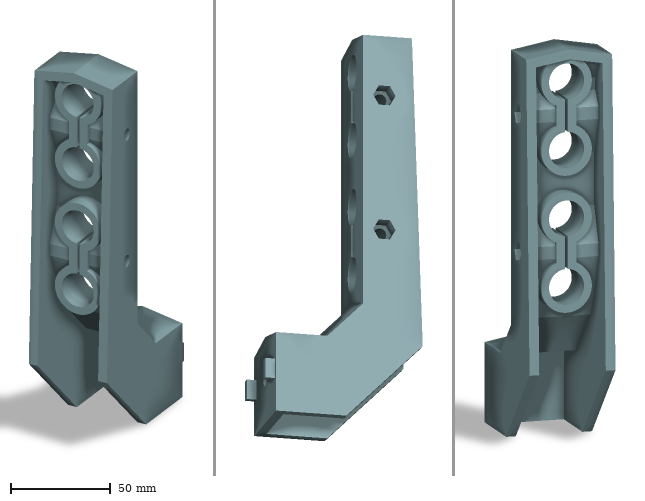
import cadquery as cq
import math

width = 45.0
height = 204.0
wall = 5.0
half_width = width / 2
cavity_half_width = half_width - wall

ledge_z = 45.0
base_back_y = 75.7
column_back_y = 30.8
column_front_top_y = 5.7
front_chamfer = 39.4
ledge_side_end_y = 49.2

crown_slope = math.tan(math.radians(10))
crown_rise = half_width * crown_slope

pad_y = 12.2
pad_height = 6.5
boss_slope = math.tan(math.radians(22))
boss_bend_z = 81.5
web_y = 19.5
top_seat_y = 18.0
top_seat_low_z = 179.7
top_seat_high_z = 186.0
top_ramp_end_z = 197.9

screw_y = 19.8
screw_z_levels = (99.0, 169.1)
screw_diameter = 6.5
nut_flats = 10.0
nut_depth = 9.2
tube_spacing = 35.0
tube_outer_radius = 13.3
tube_bore_radius = 9.2
clamp_front_y = 10.0
neck_width = 10.5
slot_width = 1.6

mount_z = 22.6
mount_hole_diameter = 6.5
peg_width = 3.3
peg_height = 10.2
peg_length = 5.0

front_lean = column_front_top_y / (height - front_chamfer)
bend_shift = math.tan(math.radians(22.5))
ledge_ridge_end_y = ledge_side_end_y + crown_rise * bend_shift

ceiling_z = ledge_z - wall
ceiling_end_y = ledge_ridge_end_y - wall * bend_shift
column_inner_y = column_back_y - wall
column_foot_z = ceiling_z + ceiling_end_y - column_inner_y


def outer_outline(drop):
    """Closed (Y, Z) outline of the body with the top surfaces lowered by `drop` from the ridge."""
    roof_z = height - drop
    shelf_z = ledge_z - drop
    bend_y = ledge_ridge_end_y - drop * bend_shift
    return [
        (front_chamfer, 0),
        (base_back_y, 0),
        (base_back_y, shelf_z),
        (bend_y, shelf_z),
        (column_back_y, shelf_z + bend_y - column_back_y),
        (column_back_y, roof_z),
        ((roof_z - front_chamfer) * front_lean, roof_z),
        (0, front_chamfer),
    ]


def cavity_outline(drop):
    """Closed (Y, Z) outline of the hollow, open at the front and underneath."""
    roof_z = height - wall - drop
    return [
        (-wall, -wall),
        (base_back_y - wall, -wall),
        (base_back_y - wall, ceiling_z),
        (ceiling_end_y, ceiling_z),
        (column_inner_y, column_foot_z),
        (column_inner_y, roof_z),
        (-wall, roof_z),
    ]


def crowned_solid(outline, half_span):
    """Loft an outline from the ridge to the side, then mirror it about X = 0."""
    half = (
        cq.Workplane("YZ")
        .polyline(outline(0)).close()
        .workplane(offset=half_span)
        .polyline(outline(half_span * crown_slope)).close()
        .loft(ruled=True)
    )
    return half.union(half.mirror("YZ"))


def column_backing():
    """Stepped filling between the side walls, from the back of the column to the boss faces."""
    low_pad, high_pad = [(z - pad_height / 2, z + pad_height / 2) for z in screw_z_levels]
    web_rise = (web_y - pad_y) / boss_slope
    bend_y = pad_y + (low_pad[0] - boss_bend_z) * boss_slope
    outline = [
        (column_back_y, column_foot_z),
        (column_inner_y, column_foot_z),
        (bend_y, boss_bend_z),
        (pad_y, low_pad[0]),
        (pad_y, low_pad[1]),
        (web_y, low_pad[1] + web_rise),
        (web_y, high_pad[0] - web_rise),
        (pad_y, high_pad[0]),
        (pad_y, high_pad[1]),
        (top_seat_y, top_seat_low_z),
        (top_seat_y, top_seat_high_z),
        (clamp_front_y, top_ramp_end_z),
        (clamp_front_y, height),
        (column_back_y, height),
    ]
    return cq.Workplane("YZ").polyline(outline).close().extrude(cavity_half_width, both=True)


def clamp_prism(screw_z, tube_radius, neck):
    """Two cylinders and the straight neck joining them, from the clamp face to the back of the column."""
    depth = column_back_y - clamp_front_y
    face = cq.Workplane("XZ", origin=(0, clamp_front_y, screw_z))
    ends = [(0, -tube_spacing / 2), (0, tube_spacing / 2)]
    tubes = face.pushPoints(ends).circle(tube_radius).extrude(-depth)
    return tubes.union(face.rect(neck, tube_spacing).extrude(-depth))


def add_clamps(body):
    for z in screw_z_levels:
        body = body.union(clamp_prism(z, tube_outer_radius, neck_width))
    for z in screw_z_levels:
        body = body.cut(clamp_prism(z, tube_bore_radius, slot_width))
    return body


def cut_screw_holes(body):
    """Cross holes through both side walls, with a hexagonal nut pocket sunk from -X."""
    left_face = cq.Workplane("YZ", origin=(-half_width, 0, 0))
    centres = [(screw_y, z) for z in screw_z_levels]
    nut_corners = nut_flats / math.cos(math.radians(30))
    body = body.cut(left_face.pushPoints(centres).circle(screw_diameter / 2).extrude(width))
    return body.cut(left_face.pushPoints(centres).polygon(6, nut_corners).extrude(nut_depth))


def add_mount(body):
    """Locating pegs and a screw hole on the back of the base."""
    back_face = cq.Workplane("XZ", origin=(0, base_back_y, mount_z))
    peg_x = cavity_half_width + peg_width / 2
    pegs = back_face.pushPoints([(-peg_x, 0), (peg_x, 0)]).rect(peg_width, peg_height).extrude(-peg_length)
    hole = back_face.circle(mount_hole_diameter / 2).extrude(wall)
    return body.union(pegs).cut(hole)


envelope = crowned_solid(outer_outline, half_width)
body = envelope.cut(crowned_solid(cavity_outline, cavity_half_width))
body = body.union(column_backing().intersect(envelope))
body = add_clamps(body)
body = cut_screw_holes(body)
result = add_mount(body)